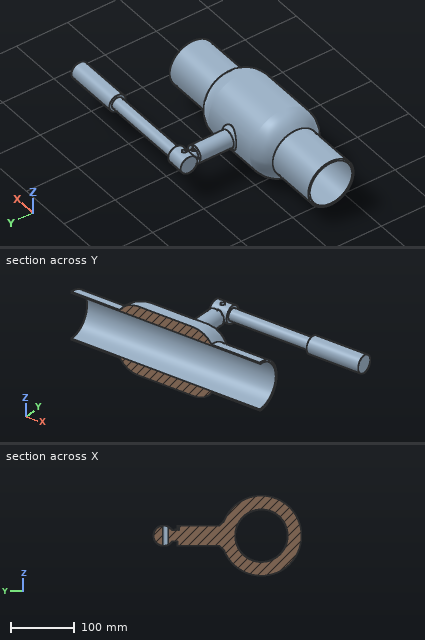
import cadquery as cq

pipe_length = 370.0
pipe_diameter = 89.0
bore_diameter = 82.5
body_diameter = 127.0
body_length = 180.5
body_straight_length = 110.5
valve_x = pipe_length / 2

tube_diameter = 32.0
tube_end_y = 132.5
weld_top_y = 66.2
weld_size = 11.0
stem_diameter = 18.0

notch_depth = 2.5
notch_overrun = 4.0
stop_pin_diameter = 5.0
stop_pin_y = 133.5
stop_pin_tip_z = 10.5

overall_length = 460.0
head_diameter = 32.0
head_length = 33.5
rod_diameter = 22.0
grip_diameter = 32.0
grip_length = 101.0
handle_y = 154.0
cross_hole_diameter = 8.0
cross_hole_y = 151.5


def rod_along_x(diameter, start_x, end_x, y):
    """Solid round bar parallel to X."""
    section = cq.Workplane("YZ", origin=(start_x, y, 0)).circle(diameter / 2)
    return section.extrude(end_x - start_x)


def rod_along_y(diameter, start_y, end_y):
    """Solid round bar on the stem axis."""
    plane = cq.Plane(origin=(valve_x, start_y, 0), xDir=(1, 0, 0), normal=(0, 1, 0))
    return cq.Workplane(plane).circle(diameter / 2).extrude(end_y - start_y)


def make_housing():
    """Revolved pipe with a barrel whose rounded shoulders start tangent to its straight wall."""
    pipe_radius = pipe_diameter / 2
    body_radius = body_diameter / 2
    body_start = valve_x - body_length / 2
    body_end = valve_x + body_length / 2
    straight_start = valve_x - body_straight_length / 2
    straight_end = valve_x + body_straight_length / 2
    profile = (
        cq.Workplane("XY")
        .moveTo(straight_start, body_radius)
        .lineTo(straight_end, body_radius)
        .tangentArcPoint((body_end, pipe_radius), relative=False)
        .lineTo(pipe_length, pipe_radius)
        .lineTo(pipe_length, 0)
        .lineTo(0, 0)
        .lineTo(0, pipe_radius)
        .lineTo(body_start, pipe_radius)
    )
    shoulder_run = straight_start - body_start
    shoulder_drop = body_radius - pipe_radius
    shoulder_radius = (shoulder_run**2 + shoulder_drop**2) / (2 * shoulder_drop)
    profile = profile.radiusArc((straight_start, body_radius), shoulder_radius).close()
    return profile.revolve(360, (0, 0, 0), (1, 0, 0))


def make_stem():
    """Tube with a weld cone, a notched rim, the inner stem and its stop pin."""
    tube = rod_along_y(tube_diameter, 0, tube_end_y)
    tube_radius = tube_diameter / 2
    notch_width = tube_radius + notch_overrun
    notch = cq.Workplane("XY").box(notch_width, notch_depth, tube_radius, centered=False)
    notch = notch.translate((valve_x - tube_radius, tube_end_y - notch_depth, 0))
    weld = rod_along_y(tube_diameter + 2 * weld_size, 0, weld_top_y)
    weld = weld.faces(">Y").chamfer(weld_size)
    stem = rod_along_y(stem_diameter, 0, handle_y)
    pin = cq.Workplane("XY", origin=(valve_x, stop_pin_y, 0)).circle(stop_pin_diameter / 2)
    return tube.cut(notch).union(weld).union(stem).union(pin.extrude(stop_pin_tip_z))


def make_handle():
    """Head on the stem, long rod and thicker grip."""
    head_start = valve_x - head_length / 2
    head = rod_along_x(head_diameter, head_start, head_start + head_length, handle_y)
    rod = rod_along_x(rod_diameter, valve_x, overall_length, handle_y)
    grip = rod_along_x(grip_diameter, overall_length - grip_length, overall_length, handle_y)
    return head.union(rod).union(grip)


bore = rod_along_x(bore_diameter, 0, pipe_length, 0)
cross_hole = (
    cq.Workplane("XY", origin=(valve_x, cross_hole_y, 0))
    .circle(cross_hole_diameter / 2)
    .extrude(head_diameter, both=True)
)
result = make_housing().union(make_stem()).union(make_handle()).cut(bore).cut(cross_hole)